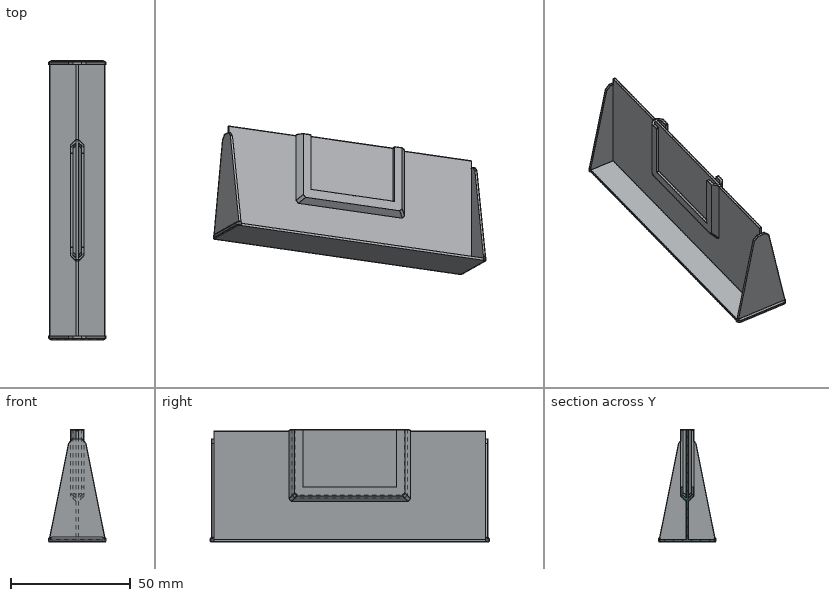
import cadquery as cq

OVERALL_WIDTH = 24.2
OVERALL_LENGTH = 116.61
OVERALL_HEIGHT = 46.8

FLOOR_WIDTH = 23.0
FLOOR_THICKNESS = 1.0
WEB_THICKNESS = 1.0
WEB_HEIGHT = 46.2

PLATE_THICKNESS = 1.0
PLATE_HEIGHT = 43.0
PLATE_TOP_FLAT = 3.5
PLATE_SHOULDER = 1.9
FOOT_OVERHANG = 0.65
FOOT_HEIGHT = 1.95
FOOT_CORNER = 1.65
FOOT_BOTTOM_BEVEL = 0.4

CLIP_LENGTH = 50.8
CLIP_WIDTH = 5.6
CLIP_BOTTOM = 16.9
CLIP_CORNER = 1.1
CLIP_TIP_BEVEL_LENGTH = 0.7
CLIP_TIP_BEVEL_HEIGHT = 0.35
LIP_THICKNESS = 1.1
SLOT_INSET = 1.4
WINDOW_LENGTH = 38.9
WINDOW_BOTTOM = 23.0
WINDOW_BEVEL = 0.3

plate_outer_y = OVERALL_LENGTH / 2 - FOOT_OVERHANG
plate_inner_y = plate_outer_y - PLATE_THICKNESS
clip_depth = (CLIP_WIDTH - WEB_THICKNESS) / 2
slot_depth = clip_depth - LIP_THICKNESS
cut_margin = 1.0


def box(x_size, y_size, z_bottom, z_top):
    """Box centred on the Z axis in plan, between two heights."""
    return (
        cq.Workplane("XY")
        .workplane(offset=z_bottom)
        .rect(x_size, y_size)
        .extrude(z_top - z_bottom)
    )


def mirror_both(shape, plane):
    """The shape together with its mirror image."""
    return shape.union(shape.mirror(plane))


def end_plate():
    """Tapered plate at the +Y end, with 45 degree top corners."""
    top_half = PLATE_TOP_FLAT / 2
    shoulder_half = top_half + PLATE_SHOULDER
    outline = [
        (-FLOOR_WIDTH / 2, 0),
        (-FLOOR_WIDTH / 2, FOOT_HEIGHT),
        (-shoulder_half, PLATE_HEIGHT - PLATE_SHOULDER),
        (-top_half, PLATE_HEIGHT),
        (top_half, PLATE_HEIGHT),
        (shoulder_half, PLATE_HEIGHT - PLATE_SHOULDER),
        (FLOOR_WIDTH / 2, FOOT_HEIGHT),
        (FLOOR_WIDTH / 2, 0),
    ]
    return (
        cq.Workplane("XZ", origin=(0, plate_inner_y, 0))
        .polyline(outline)
        .close()
        .extrude(-PLATE_THICKNESS)
    )


def foot():
    """Bevelled foot strip under the +Y end plate."""
    full = box(OVERALL_WIDTH, OVERALL_LENGTH, 0, FOOT_HEIGHT)
    full = full.edges("|Z").fillet(FOOT_CORNER)
    full = full.faces(">Z").chamfer(FOOT_OVERHANG)
    full = full.faces("<Z").chamfer(FOOT_BOTTOM_BEVEL)
    foot_length = OVERALL_LENGTH / 2 - plate_inner_y
    end_zone = box(OVERALL_WIDTH, foot_length, 0, FOOT_HEIGHT)
    return full.intersect(end_zone.translate((0, plate_inner_y + foot_length / 2, 0)))


def clip_outline(workplane, half_length, bottom, top):
    """U-shaped outline in the YZ plane with cut lower corners."""
    return workplane.polyline(
        [
            (-half_length, top),
            (-half_length, bottom + CLIP_CORNER),
            (-half_length + CLIP_CORNER, bottom),
            (half_length - CLIP_CORNER, bottom),
            (half_length, bottom + CLIP_CORNER),
            (half_length, top),
        ]
    ).close()


def half_frustum(half_length, bottom, top, depth):
    """Block on the +X face of the web whose ends and bottom slope in at 45 degrees."""
    start = cq.Workplane("YZ", origin=(WEB_THICKNESS / 2, 0, 0))
    base = clip_outline(start, half_length, bottom, top)
    tip = clip_outline(base.workplane(offset=depth), half_length - depth, bottom + depth, top)
    return tip.loft(ruled=True, combine=True)


def clip():
    """Raised band of web with a lip on each side, ready for its slots."""
    half_length = CLIP_LENGTH / 2
    lip = half_frustum(half_length, CLIP_BOTTOM, OVERALL_HEIGHT, clip_depth)
    core = box(WEB_THICKNESS, CLIP_LENGTH, CLIP_BOTTOM, OVERALL_HEIGHT)
    body = core.union(mirror_both(lip, "YZ"))
    tip_bevel = (
        cq.Workplane("YZ")
        .polyline(
            [
                (half_length - CLIP_TIP_BEVEL_LENGTH, OVERALL_HEIGHT),
                (half_length, OVERALL_HEIGHT),
                (half_length, OVERALL_HEIGHT - CLIP_TIP_BEVEL_HEIGHT),
            ]
        )
        .close()
        .extrude(CLIP_WIDTH / 2, both=True)
    )
    return body.cut(mirror_both(tip_bevel, "XZ"))


def window():
    """Opening through the +X lip, flared at the top."""
    half_length = WINDOW_LENGTH / 2
    flared_half = half_length + WINDOW_BEVEL
    outline = [
        (-half_length, WINDOW_BOTTOM),
        (-half_length, OVERALL_HEIGHT - WINDOW_BEVEL),
        (-flared_half, OVERALL_HEIGHT),
        (flared_half, OVERALL_HEIGHT),
        (half_length, OVERALL_HEIGHT - WINDOW_BEVEL),
        (half_length, WINDOW_BOTTOM),
    ]
    web_face = cq.Workplane("YZ", origin=(WEB_THICKNESS / 2, 0, 0))
    return web_face.polyline(outline).close().extrude(clip_depth)


def clip_cuts():
    """Slot behind each lip and the window through it."""
    top = OVERALL_HEIGHT + cut_margin
    slot = half_frustum(CLIP_LENGTH / 2 - SLOT_INSET, CLIP_BOTTOM + SLOT_INSET, top, slot_depth)
    return mirror_both(slot.union(window()), "YZ")


floor = box(FLOOR_WIDTH, 2 * plate_inner_y, 0, FLOOR_THICKNESS)
web = box(WEB_THICKNESS, 2 * plate_inner_y, 0, WEB_HEIGHT)
ends = mirror_both(end_plate().union(foot()), "XZ")

result = floor.union(web).union(ends).union(clip()).cut(clip_cuts())